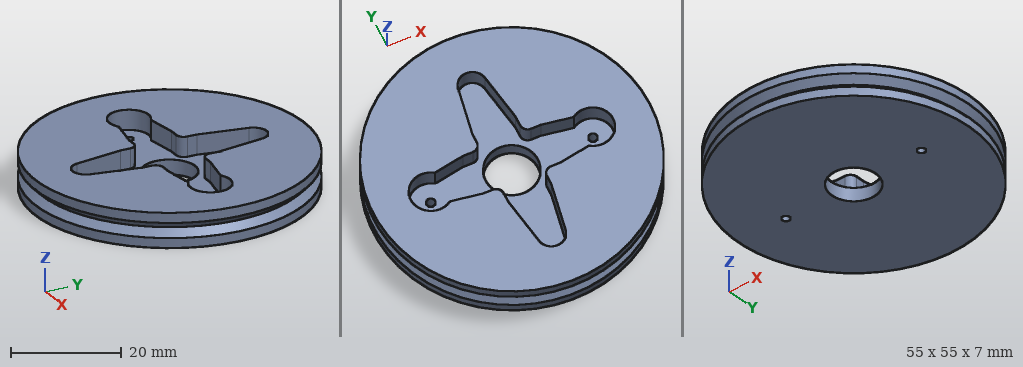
import cadquery as cq
import math

disc_diameter = 55.0
disc_thickness = 7.0
groove_depth = 1.5
groove_width = 2 * groove_depth

pocket_depth = 4.0
arm_length = 19.7
arm_root_half_width = 4.3
arm_taper_start = 7.75
arm_tip_radius = 2.7
corner_radius = 1.5

screw_offset = 16.15
screw_points = [(-screw_offset, 0), (screw_offset, 0)]
screw_lobe_diameter = 8.0
screw_hole_diameter = 1.7

center_bore_diameter = 10.4


def make_disc():
    """Revolve the rim profile around Z, with the bottom face at Z = 0."""
    radius = disc_diameter / 2
    middle = disc_thickness / 2
    profile = (
        cq.Workplane("XZ")
        .lineTo(radius, 0)
        .lineTo(radius, middle - groove_width / 2)
        .lineTo(radius - groove_depth, middle)
        .lineTo(radius, middle + groove_width / 2)
        .lineTo(radius, disc_thickness)
        .lineTo(0, disc_thickness)
        .close()
    )
    return profile.revolve(360, (0, 0, 0), (0, 1, 0))


def make_arm(plane, angle):
    """One pocket arm along +X, tapered tangentially into a round tip, then turned by angle."""
    tip_center = arm_length - arm_tip_radius
    taper_length = tip_center - arm_taper_start
    to_corner = math.hypot(taper_length, arm_root_half_width)
    corner_angle = math.atan2(arm_root_half_width, -taper_length)
    tangent_angle = corner_angle - math.acos(arm_tip_radius / to_corner)
    tangent_x = tip_center + arm_tip_radius * math.cos(tangent_angle)
    tangent_y = arm_tip_radius * math.sin(tangent_angle)
    arm = (
        plane.moveTo(0, -arm_root_half_width)
        .lineTo(arm_taper_start, -arm_root_half_width)
        .lineTo(tangent_x, -tangent_y)
        .threePointArc((arm_length, 0), (tangent_x, tangent_y))
        .lineTo(arm_taper_start, arm_root_half_width)
        .lineTo(0, arm_root_half_width)
        .close()
        .extrude(pocket_depth)
    )
    return arm.rotate((0, 0, 0), (0, 0, 1), angle)


def make_pocket():
    """Four-armed cross with rounded inner corners and a round lobe on each X arm."""
    floor = cq.Workplane("XY").workplane(offset=disc_thickness - pocket_depth)
    cross = make_arm(floor, 0)
    for angle in (90, 180, 270):
        cross = cross.union(make_arm(floor, angle))
    cross = cross.clean()

    corner_reach = arm_root_half_width + corner_radius / 2
    corner_box = cq.selectors.BoxSelector(
        (-corner_reach, -corner_reach, 0),
        (corner_reach, corner_reach, disc_thickness),
    )
    cross = cross.edges("|Z").edges(corner_box).fillet(corner_radius)

    lobes = floor.pushPoints(screw_points).circle(screw_lobe_diameter / 2).extrude(pocket_depth)
    return cross.union(lobes)


def make_through_holes():
    """Center bore and the two screw holes, through the full thickness."""
    bore = cq.Workplane("XY").circle(center_bore_diameter / 2).extrude(disc_thickness)
    screws = (
        cq.Workplane("XY")
        .pushPoints(screw_points)
        .circle(screw_hole_diameter / 2)
        .extrude(disc_thickness)
    )
    return bore.union(screws)


result = make_disc().cut(make_pocket()).cut(make_through_holes())